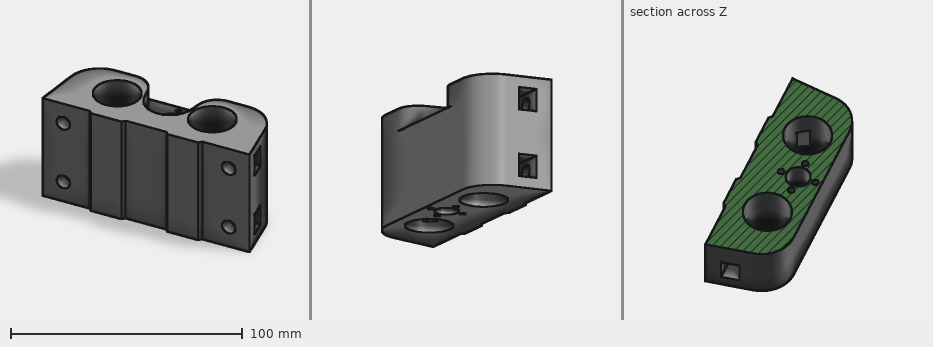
import cadquery as cq
import math

base_width = 100
back_width = 90
body_depth = 34
height = 50
back_corner_radius = 15

pad_root_width = 17.4
pad_rise = 1.4
pad_centre_x = 18.5

bore_diameter = 21
bore_x = 23
bore_y = 18

recess_y = 23
recess_radius = 11.5
recess_depth = 10
recess_flare = 12
recess_mouth_radius = 10

centre_hole_diameter = 10.6
screw_hole_diameter = 2.6
screw_circle_radius = 8
screw_count = 4

bolt_diameter = 6.4
bolt_x = 40
bolt_z = 15
nut_slot_size = 10
nut_slot_thickness = 8
nut_slot_front_y = 7
bolt_depth = nut_slot_front_y + nut_slot_thickness

top_z = height / 2
bottom_z = -top_z
SIDES = (-1, 1)


def make_body():
    outline = [
        (-base_width / 2, 0),
        (base_width / 2, 0),
        (back_width / 2, body_depth),
        (-back_width / 2, body_depth),
    ]
    block = cq.Workplane("XY").workplane(offset=bottom_z).polyline(outline).close().extrude(height)
    return block.edges("|Z and >Y").fillet(back_corner_radius)


def make_pad(side):
    centre = side * pad_centre_x
    root = pad_root_width / 2
    crest = root - pad_rise
    outline = [
        (centre - root, 0),
        (centre - crest, -pad_rise),
        (centre + crest, -pad_rise),
        (centre + root, 0),
    ]
    return cq.Workplane("XY").workplane(offset=bottom_z).polyline(outline).close().extrude(height)


def make_recess():
    """Round-bottomed recess whose flared walls blend into the back face."""
    flare = math.radians(recess_flare)
    wall_x = recess_radius * math.cos(flare)
    wall_y = recess_y - recess_radius * math.sin(flare)
    corner_x = wall_x + (body_depth - wall_y) * math.tan(flare)
    turn = math.pi / 2 - flare
    tangent_length = recess_mouth_radius * math.tan(turn / 2)
    mouth_x = corner_x + tangent_length
    arc_x = corner_x - tangent_length * math.sin(flare)
    arc_y = body_depth - tangent_length * math.cos(flare)
    mid_x = mouth_x - recess_mouth_radius * math.sin(turn / 2)
    mid_y = body_depth - recess_mouth_radius * (1 - math.cos(turn / 2))
    return (
        cq.Workplane("XY")
        .workplane(offset=top_z - recess_depth)
        .moveTo(-mouth_x, body_depth)
        .threePointArc((-mid_x, mid_y), (-arc_x, arc_y))
        .lineTo(-wall_x, wall_y)
        .threePointArc((0, recess_y - recess_radius), (wall_x, wall_y))
        .lineTo(arc_x, arc_y)
        .threePointArc((mid_x, mid_y), (mouth_x, body_depth))
        .close()
        .extrude(recess_depth)
    )


def vertical_hole(x, y, diameter):
    return cq.Workplane("XY").workplane(offset=bottom_z).center(x, y).circle(diameter / 2).extrude(height)


def make_bolt_hole(x, z):
    return cq.Workplane("XZ").center(x, z).circle(bolt_diameter / 2).extrude(-bolt_depth)


def make_nut_slot(side, z):
    inner_x = bolt_x - nut_slot_size
    length = base_width / 2 - inner_x
    centre_x = side * (inner_x + length / 2)
    centre_y = nut_slot_front_y + nut_slot_thickness / 2
    return cq.Workplane("XY").box(length, nut_slot_thickness, nut_slot_size).translate((centre_x, centre_y, z))


result = make_body()
for side in SIDES:
    result = result.union(make_pad(side))

result = result.cut(make_recess())
result = result.cut(vertical_hole(0, recess_y, centre_hole_diameter))
for index in range(screw_count):
    angle = 2 * math.pi * index / screw_count
    screw_x = screw_circle_radius * math.cos(angle)
    screw_y = recess_y + screw_circle_radius * math.sin(angle)
    result = result.cut(vertical_hole(screw_x, screw_y, screw_hole_diameter))

for side in SIDES:
    result = result.cut(vertical_hole(side * bore_x, bore_y, bore_diameter))
    for z in (-bolt_z, bolt_z):
        result = result.cut(make_bolt_hole(side * bolt_x, z))
        result = result.cut(make_nut_slot(side, z))